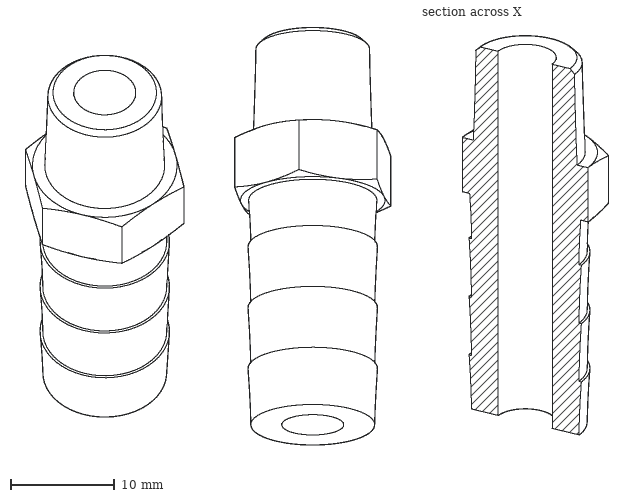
import cadquery as cq
import math

total_length = 39.0
bore_diameter = 6.0

hex_across_flats = 14.0
hex_height = 5.85
hex_bottom = 23.0
hex_top = hex_bottom + hex_height
hex_across_corners = hex_across_flats / math.cos(math.radians(30))
hex_corner_drop = 0.4

thread_base_diameter = 11.62
thread_tip_diameter = 11.05
tip_chamfer = 0.5

barb_count = 3
barb_pitch = 6.25
end_barb_length = 5.77
barb_large_radius = 12.55 / 2
barb_small_radius = 12.0 / 2
barb_overlap = 0.2


def cone_between(bottom, bottom_radius, top, top_radius):
    """Solid cone frustum on the Z axis between two heights."""
    return (
        cq.Workplane("XZ")
        .moveTo(0, bottom)
        .lineTo(bottom_radius, bottom)
        .lineTo(top_radius, top)
        .lineTo(0, top)
        .close()
        .revolve(360, (0, 0), (0, 1))
    )


def hose_tail():
    """Barbs that widen upward, then a shorter barb that is cut off by the hexagon."""
    tail = cone_between(0, barb_small_radius, end_barb_length, barb_large_radius)
    for index in range(barb_count - 1):
        bottom = end_barb_length + index * barb_pitch
        barb = cone_between(bottom, barb_small_radius, bottom + barb_pitch, barb_large_radius)
        tail = tail.union(barb)

    neck_bottom = end_barb_length + (barb_count - 1) * barb_pitch
    neck_top = hex_bottom + barb_overlap
    widening_per_length = (barb_large_radius - barb_small_radius) / barb_pitch
    neck_top_radius = barb_small_radius + widening_per_length * (neck_top - neck_bottom)
    return tail.union(cone_between(neck_bottom, barb_small_radius, neck_top, neck_top_radius))


def hexagon():
    """Hexagon with its corners along X and conical chamfers at both ends."""
    prism = (
        cq.Workplane("XY")
        .workplane(offset=hex_bottom)
        .polygon(6, hex_across_corners)
        .extrude(hex_height)
    )
    flat_radius = hex_across_flats / 2
    corner_radius = hex_across_corners / 2
    corner_envelope = (
        cq.Workplane("XZ")
        .moveTo(0, hex_bottom)
        .lineTo(flat_radius, hex_bottom)
        .lineTo(corner_radius, hex_bottom + hex_corner_drop)
        .lineTo(corner_radius, hex_top - hex_corner_drop)
        .lineTo(flat_radius, hex_top)
        .lineTo(0, hex_top)
        .close()
        .revolve(360, (0, 0), (0, 1))
    )
    return prism.intersect(corner_envelope)


def threaded_end():
    """Tapered plain body of the thread with a chamfered tip."""
    chamfer_bottom = total_length - tip_chamfer
    tip_radius = thread_tip_diameter / 2
    body = cone_between(hex_top, thread_base_diameter / 2, chamfer_bottom, tip_radius)
    tip = cone_between(chamfer_bottom, tip_radius, total_length, tip_radius - tip_chamfer)
    return body.union(tip)


bore = cq.Workplane("XY").circle(bore_diameter / 2).extrude(total_length)

result = hose_tail().union(hexagon()).union(threaded_end()).cut(bore)